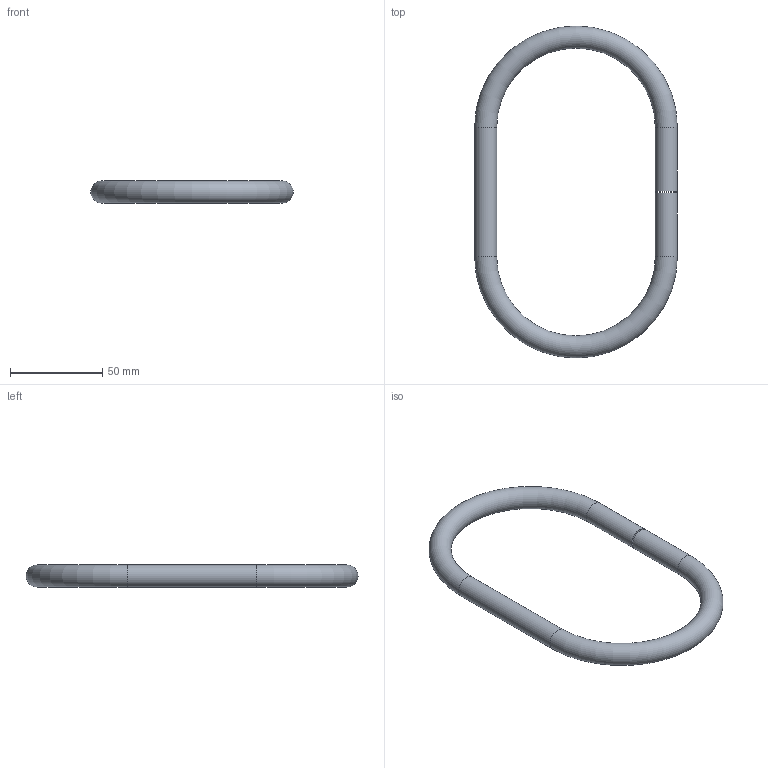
import cadquery as cq

rod_diameter = 12.0
outer_width = 110.0
outer_length = 180.0
joint_gap = 0.8

bend_radius = (outer_width - rod_diameter) / 2
straight_length = outer_length - outer_width
half_straight = straight_length / 2
half_gap = joint_gap / 2


def rod_centreline():
    """Open oblong path that starts and ends at the joint in the +X side."""
    return (
        cq.Workplane("XY")
        .moveTo(bend_radius, half_gap)
        .lineTo(bend_radius, half_straight)
        .threePointArc((0, half_straight + bend_radius), (-bend_radius, half_straight))
        .lineTo(-bend_radius, -half_straight)
        .threePointArc((0, -half_straight - bend_radius), (bend_radius, -half_straight))
        .lineTo(bend_radius, -half_gap)
    )


def bent_rod():
    """Round rod swept around the path, leaving a narrow gap between its ends."""
    rod_section = cq.Workplane("XZ", origin=(bend_radius, half_gap, 0)).circle(rod_diameter / 2)
    return rod_section.sweep(rod_centreline())


result = bent_rod()